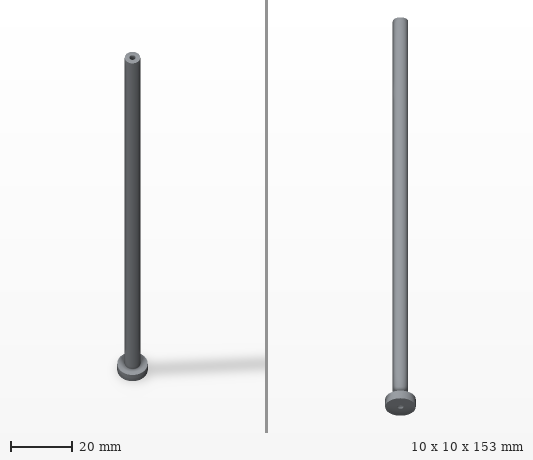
import cadquery as cq

total_length = 153.0
head_diameter = 10.0
head_thickness = 3.0
shaft_diameter = 5.0
bore_diameter = 2.0
neck_fillet = 0.25

head = cq.Workplane("XY").circle(head_diameter / 2).extrude(head_thickness)
shaft = cq.Workplane("XY").circle(shaft_diameter / 2).extrude(total_length)
body = head.union(shaft)

neck_corner = cq.selectors.RadiusNthSelector(0)
body = body.faces("<Z[1]").edges(neck_corner).fillet(neck_fillet)

bore = cq.Workplane("XY").circle(bore_diameter / 2).extrude(total_length)
result = body.cut(bore)